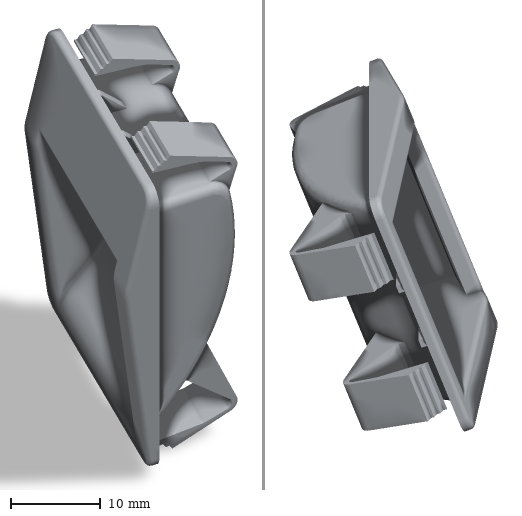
import cadquery as cq
import math


plate_width = 30.0
plate_height = 43.1
plate_edge_depth = 1.15
crease_height = 28.52
crease_depth = 4.1
crease_radius = 5.05
plate_corner_radius = 2.0
plate_edge_radius = 0.5

tub_half_width = 12.9
tub_top = 39.0
tub_depth = 10.45
tub_radius = 37.03
tub_curve_height = 30.4
tub_top_radius = 2.5
tub_edge_radius = 1.0
collar_depth = 1.0
tub_draft = math.radians(2.5)

wall = 2.0
pocket_half_width = 10.9
pocket_draft = math.radians(2)
pocket_top = tub_top - wall
pocket_depth = 8.95
pocket_radius = 34.75
pocket_curve_height = 29.25
pocket_edge_radius = 0.35
lip_height = 30.4
mouth_bottom = 1.55
mouth_radius = 0.55

clip_inner_x = 5.4
clip_width = 6.0
tooth_count = 3
tooth_run = 0.5
tooth_rise = 0.2

rib_inner_x = 3.0
rib_width = 1.0
lower_rib_bottom = 2.2
lower_rib_top = 9.15
gusset_top = plate_height - 1.0
gusset_tip_depth = 0.55
gusset_length = 3.5

overlap = 0.45
clearance = 4.55
tolerance = 0.25


def prism(outline, x_start, x_length):
    """Extrude a closed YZ outline along +X."""
    return outline.extrude(x_length).translate((x_start, 0, 0))


def wide_prism(outline):
    """Extrude a closed YZ outline across the full width of the plate."""
    return prism(outline, -plate_width / 2, plate_width)


def mirrored_pair(solid):
    return solid.union(solid.mirror("YZ"))


def arc_point(z, depth, radius, deepest_z):
    """(Y, Z) point at height z on an arc that reaches the given depth at deepest_z."""
    return (depth - radius + math.sqrt(radius**2 - (z - deepest_z) ** 2), z)


def side_limits(right_side):
    """Tall symmetric block whose right side passes through the given (X, Y) points."""
    left_side = [(-x, y) for x, y in reversed(right_side)]
    block = cq.Workplane("XY").polyline(right_side + left_side).close()
    return block.extrude(plate_height + 2 * clearance).translate((0, 0, -clearance))


def make_plate():
    outline = cq.Workplane("YZ").polyline([
        (0, 0),
        (-plate_edge_depth, 0),
        (-crease_depth, crease_height),
        (-plate_edge_depth, plate_height),
        (0, plate_height),
    ])
    plate = wide_prism(outline.close())
    plate = plate.edges("|Y").fillet(plate_corner_radius)
    plate = plate.edges("|X").edges("<Y").fillet(crease_radius)
    front_lower_edge = plate.edges("|X").edges("<Z").edges("<Y")
    return front_lower_edge.fillet(plate_edge_radius)


def make_tub():
    def back(z):
        return arc_point(z, tub_depth, tub_radius, tub_curve_height)

    center_y = tub_depth - tub_radius
    arc_end_angle = math.acos((collar_depth - center_y) / tub_radius)
    arc_end_z = tub_curve_height - tub_radius * math.sin(arc_end_angle)
    foot_z = arc_end_z - (collar_depth + overlap) / math.tan(arc_end_angle)
    outline = (
        cq.Workplane("YZ")
        .moveTo(-overlap, foot_z)
        .lineTo(collar_depth, arc_end_z)
        .threePointArc(back((arc_end_z + tub_top) / 2), back(tub_top))
        .lineTo(-overlap, tub_top)
        .close()
    )
    tub = wide_prism(outline)
    tub = tub.edges("|X").edges(">Z").edges(">Y").fillet(tub_top_radius)

    rear_y = tub_depth + clearance
    rear_half_width = tub_half_width - (rear_y - collar_depth) * math.tan(tub_draft)
    tub = tub.intersect(side_limits([
        (tub_half_width, -clearance),
        (tub_half_width, collar_depth),
        (rear_half_width, rear_y),
    ]))

    def is_side_edge(edge):
        return edge.Center().y > -overlap / 2 and abs(edge.Center().x) > tub_half_width / 2

    return tub.edges("not |Z").edges("not |X").filter(is_side_edge).fillet(tub_edge_radius)


def make_pocket():
    """Space behind the mouth; it also reaches up behind the lip."""
    def floor(z):
        return arc_point(z, pocket_depth, pocket_radius, pocket_curve_height)

    face_angle = math.atan2(crease_depth - plate_edge_depth, crease_height)
    foot_y = -plate_edge_depth - mouth_bottom * math.tan(face_angle)
    inward_y = math.cos(face_angle)
    inward_z = math.sin(face_angle)
    offset_y = foot_y - (pocket_depth - pocket_radius)
    offset_z = mouth_bottom - pocket_curve_height
    inward_offset = offset_y * inward_y + offset_z * inward_z
    roll_radius = (offset_y**2 + offset_z**2 - pocket_radius**2) / (2 * (pocket_radius - inward_offset))
    roll_center = (foot_y + roll_radius * inward_y, mouth_bottom + roll_radius * inward_z)
    floor_share = pocket_radius / (pocket_radius + roll_radius)
    roll_foot = (foot_y, mouth_bottom)
    roll_top = floor(pocket_curve_height + (roll_center[1] - pocket_curve_height) * floor_share)
    chord_middle = tuple((a + b) / 2 for a, b in zip(roll_foot, roll_top))
    reach = roll_radius / math.dist(roll_center, chord_middle)
    roll_middle = tuple(c + (m - c) * reach for c, m in zip(roll_center, chord_middle))

    lip_slope = (crease_depth - plate_edge_depth) / (plate_height - crease_height)

    def lip_rear(z):
        return (wall - plate_edge_depth - (plate_height - z) * lip_slope, z)

    front_y = -crease_depth - clearance
    outline = (
        cq.Workplane("YZ")
        .moveTo(*roll_foot)
        .threePointArc(roll_middle, roll_top)
        .threePointArc(floor((roll_top[1] + pocket_top) / 2), floor(pocket_top))
        .lineTo(*lip_rear(pocket_top))
        .lineTo(*lip_rear(lip_height))
        .lineTo(front_y, lip_height)
        .lineTo(front_y, mouth_bottom)
        .close()
    )

    def half_width(y):
        return pocket_half_width - y * math.tan(pocket_draft)

    rear_y = pocket_depth + clearance
    limits = side_limits([(half_width(y), y) for y in (front_y - overlap, rear_y)])
    return wide_prism(outline).intersect(limits)


def round_mouth(body):
    """Round the side and top edges of the mouth on the front face."""
    def is_mouth_edge(edge):
        c = edge.Center()
        on_front = c.y < -plate_edge_depth - mouth_radius
        on_side = abs(abs(c.x) - pocket_half_width) < tolerance and c.z < lip_height - tolerance
        on_lip = abs(c.x) < tolerance and abs(c.z - lip_height) < tolerance
        on_top = on_lip and c.y < -crease_depth / 2 - wall / 2
        return on_front and (on_side or on_top)

    return body.edges().filter(is_mouth_edge).fillet(mouth_radius)


def round_floor(body):
    """Round the curved inner corners between the floor and the sides of the pocket."""
    def is_floor_corner(edge):
        c = edge.Center()
        beside_floor = abs(abs(c.x) - pocket_half_width) < 2 * tolerance
        in_pocket = -plate_edge_depth < c.y < pocket_depth and c.z < lip_height
        return edge.geomType() == "ELLIPSE" and beside_floor and in_pocket

    return body.edges().filter(is_floor_corner).fillet(pocket_edge_radius)


def saw_teeth(first_crest, last_crest):
    """Points of a grip whose crests run evenly from the first to the last one."""
    pitch_y = (last_crest[0] - first_crest[0]) / tooth_count
    pitch_z = (last_crest[1] - first_crest[1]) / tooth_count
    points = [first_crest]
    for i in range(1, tooth_count + 1):
        crest_y = first_crest[0] + i * pitch_y
        crest_z = first_crest[1] + i * pitch_z
        points.append((crest_y - (1 - tooth_run) * pitch_y, crest_z + tooth_rise * pitch_z))
        points.append((crest_y, crest_z))
    return points


def make_clips(root_outside, heel_outside, first_crest, last_crest, inner_arm, heel_inside, root_inside):
    """Pair of bent clips; both heels are arcs through three points, the roots lie in the tub wall."""
    outline = (
        cq.Workplane("YZ")
        .moveTo(*root_outside)
        .lineTo(*heel_outside[0])
        .threePointArc(*heel_outside[1:])
    )
    for point in [*saw_teeth(first_crest, last_crest), *inner_arm, heel_inside[0]]:
        outline = outline.lineTo(*point)
    outline = outline.threePointArc(*heel_inside[1:])
    for point in root_inside:
        outline = outline.lineTo(*point)
    return mirrored_pair(prism(outline.close(), clip_inner_x, clip_width))


def make_upper_clips():
    return make_clips(
        root_outside=(9.85, 36.35),
        heel_outside=[(10.8, 39.95), (10.92, 40.75), (10.2, 41.85)],
        first_crest=(2.8, 44.85),
        last_crest=(0.6, 43.3),
        inner_arm=[(0.6, 42.9), (5.4, 42.65), (6.9, 42.4)],
        heel_inside=[(9.9, 41.25), (10.25, 40.75), (10.05, 40.05)],
        root_inside=[(7.45, 38.95), (8.45, 37.03)],
    )


def make_lower_clips():
    return make_clips(
        root_outside=(6.9, 14.85),
        heel_outside=[(10.8, 4.5), (10.92, 3.65), (10.15, 2.4)],
        first_crest=(3.05, -0.85),
        last_crest=(0.78, 0.65),
        inner_arm=[(0.78, 0.9), (6.85, 1.7)],
        heel_inside=[(9.85, 2.85), (10.25, 3.55), (10.05, 4.2)],
        root_inside=[(4.8, 9.1), (4.3, 9.25), (3.55, 8.8), (3.0, 9.15), (5.75, 13.25)],
    )


def make_ribs():
    """Two gussets above the tub and two low ribs below it."""
    gusset = cq.Workplane("YZ").polyline([
        (-overlap, tub_top - overlap),
        (-overlap, gusset_top),
        (gusset_tip_depth, gusset_top),
        (gusset_length, tub_top),
        (gusset_length, tub_top - overlap),
    ])
    lower_rib = cq.Workplane("YZ").polyline([
        (-overlap, lower_rib_bottom),
        (collar_depth, lower_rib_bottom),
        (collar_depth, lower_rib_top),
        (-overlap, lower_rib_top),
    ])
    ribs = [prism(outline.close(), rib_inner_x, rib_width) for outline in (gusset, lower_rib)]
    return mirrored_pair(ribs[0].union(ribs[1]))


shell = make_plate().union(make_tub()).union(make_ribs()).cut(make_pocket())
shell = round_floor(round_mouth(shell))
result = shell.union(make_upper_clips()).union(make_lower_clips())